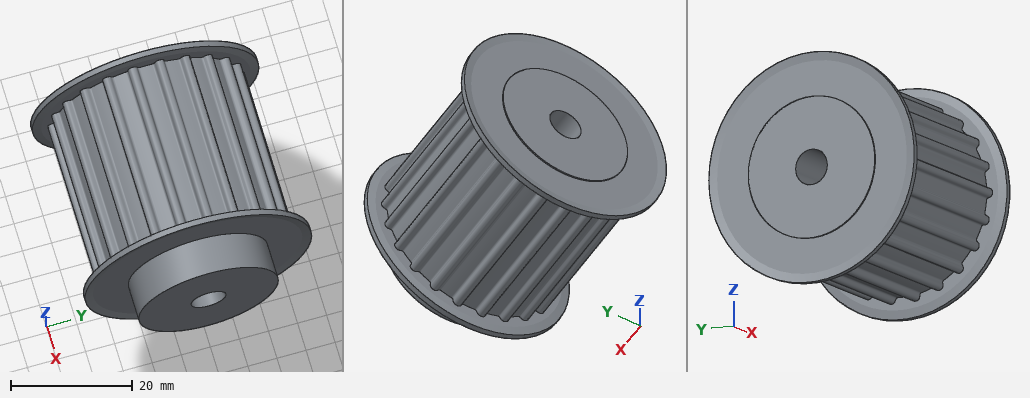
import cadquery as cq
import math


flanged_length = 32.0
hub_length = 6.0
total_length = flanged_length + hub_length

hub_radius = 12.0
bore_radius = 3.0

flange_radius = 19.5
flange_bend_radius = 18.0
flange_thickness = 1.0
rim_offset = 0.25

tooth_count = 22
tip_radius = 16.9
tooth_depth = 1.1
root_radius = tip_radius - tooth_depth
tip_half_width = 0.6
groove_flank_angle = 25.0
tip_fillet = 0.7
root_fillet = 0.4
pitch_angle = 360.0 / tooth_count

tooth_flank_angle = groove_flank_angle - pitch_angle / 2
root_half_width = tip_half_width + tooth_depth * math.tan(math.radians(tooth_flank_angle))

toothed_start = rim_offset + flange_thickness
toothed_length = flanged_length - 2 * toothed_start


def make_tooth():
    """One tooth pointing along +Y, narrowing below its flanks to a wedge that ends on the axis."""
    tip_side_height = math.sqrt(tip_radius**2 - tip_half_width**2)
    root_side_height = math.sqrt(root_radius**2 - root_half_width**2)
    return (
        cq.Workplane("YZ", origin=(toothed_start, 0, 0))
        .moveTo(0, 0)
        .lineTo(root_side_height, -root_half_width)
        .lineTo(tip_side_height, -tip_half_width)
        .threePointArc((tip_radius, 0), (tip_side_height, tip_half_width))
        .lineTo(root_side_height, root_half_width)
        .close()
        .extrude(toothed_length)
    )


def tooth_edges(body, corner_radius):
    """Axial edges of the toothed body that lie at the given radius."""
    margin = 0.01
    edges = []
    for edge in body.edges("|X").vals():
        center = edge.Center()
        if abs(math.hypot(center.y, center.z) - corner_radius) < margin:
            edges.append(edge)
    return body.newObject(edges)


def make_toothed_body():
    """Root cylinder with evenly spaced teeth, rounded at the tips and at the roots."""
    body = cq.Workplane("YZ", origin=(toothed_start, 0, 0)).circle(root_radius).extrude(toothed_length)
    tooth = make_tooth()
    for index in range(tooth_count):
        body = body.union(tooth.rotate((0, 0, 0), (1, 0, 0), index * pitch_angle))
    body = tooth_edges(body, tip_radius).fillet(tip_fillet)
    return tooth_edges(body, root_radius).fillet(root_fillet)


def make_flange():
    """Flange at the X = 0 end, its rim bent towards -X."""
    return (
        cq.Workplane("XY")
        .moveTo(rim_offset, 0)
        .lineTo(rim_offset, flange_bend_radius)
        .lineTo(0, flange_radius)
        .lineTo(flange_thickness, flange_radius)
        .lineTo(toothed_start, flange_bend_radius)
        .lineTo(toothed_start, 0)
        .close()
        .revolve(360, (0, 0, 0), (1, 0, 0))
    )


def make_hub():
    """Round core running the full length; it projects beyond the second flange."""
    return cq.Workplane("YZ").circle(hub_radius).extrude(total_length)


def make_bore():
    """Through bore along the whole axis."""
    return cq.Workplane("YZ").circle(bore_radius).extrude(total_length)


near_flange = make_flange()
far_flange = near_flange.mirror("YZ", (flanged_length / 2, 0, 0))

result = make_toothed_body().union(near_flange).union(far_flange).union(make_hub()).cut(make_bore())